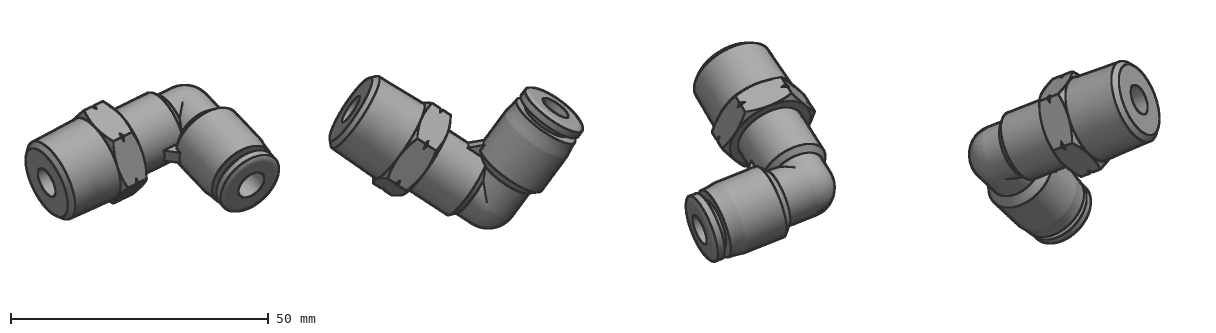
import cadquery as cq
import math


elbow_radius = 5.8
bore_radius = 3.05

leg_length = 32.48
sleeve_radius = 7.0
sleeve_start = 3.85
sleeve_chamfer = sleeve_radius - elbow_radius
hex_start = 15.05
hex_height = 6.0
hex_end = hex_start + hex_height
thread_root_radius = 8.65
thread_tip_radius = 8.35
thread_chamfer = 1.05

hex_flats = 17.48
hex_flat_radius = hex_flats / 2
hex_corner_radius = hex_flat_radius / math.cos(math.pi / 6)
hex_bevel_height = (hex_corner_radius - hex_flat_radius) * math.tan(math.pi / 6)
groove_width = 0.65
groove_depth = 0.48

socket_radius = 7.42
socket_cone_start = 6.1
socket_cone_end = socket_cone_start + socket_radius - elbow_radius
socket_taper_start = 16.48
socket_lip_start = 18.5
socket_lip_radius = 7.1
socket_end = 19.67
socket_end_radius = 7.02

neck_radius = 4.95
collar_start = 20.9
collar_radius = 6.85
collar_rim_end = 22.42
collar_face_radius = 5.6
collar_shoulder_radius = 6.42
collar_shoulder_end = 22.75
collar_end = 22.95

web_reach = 16.45
web_thickness = 2.87


def turn_leg(points):
    """Revolve a closed (radius, y) profile about the Y axis."""
    return cq.Workplane("XY").polyline(points).close().revolve(360, (0, 0, 0), (0, 1, 0))


def make_leg():
    return turn_leg([
        (0, 0),
        (elbow_radius, 0),
        (elbow_radius, -sleeve_start),
        (sleeve_radius, -sleeve_start - sleeve_chamfer),
        (sleeve_radius, -hex_end),
        (thread_root_radius, -hex_end),
        (thread_tip_radius, thread_chamfer - leg_length),
        (thread_tip_radius - thread_chamfer, -leg_length),
        (0, -leg_length),
    ])


def make_hexagon():
    """Hexagon with corners on X, bevelled at both ends and grooved at mid height."""
    blank = (
        cq.Workplane("XZ", origin=(0, -hex_start, 0))
        .polygon(6, 2 * hex_corner_radius)
        .extrude(hex_height)
    )
    hex_middle = -hex_start - hex_height / 2
    envelope = turn_leg([
        (0, -hex_start),
        (hex_flat_radius, -hex_start),
        (hex_corner_radius, -hex_start - hex_bevel_height),
        (hex_corner_radius, hex_middle + groove_width / 2),
        (hex_corner_radius - groove_depth, hex_middle),
        (hex_corner_radius, hex_middle - groove_width / 2),
        (hex_corner_radius, -hex_end + hex_bevel_height),
        (hex_flat_radius, -hex_end),
        (0, -hex_end),
    ])
    return blank.intersect(envelope)


def make_socket():
    """Socket body, neck and rounded release collar, turned about the X axis."""
    profile = (
        cq.Workplane("XY")
        .lineTo(0, elbow_radius)
        .lineTo(socket_cone_start, elbow_radius)
        .lineTo(socket_cone_end, socket_radius)
        .lineTo(socket_taper_start, socket_radius)
        .lineTo(socket_lip_start, socket_lip_radius)
        .lineTo(socket_end, socket_end_radius)
        .lineTo(socket_end, neck_radius)
        .lineTo(collar_start, neck_radius)
        .lineTo(collar_start, collar_radius)
        .lineTo(collar_rim_end, collar_radius)
        .threePointArc((collar_shoulder_end, collar_shoulder_radius), (collar_end, collar_face_radius))
        .lineTo(collar_end, 0)
        .close()
    )
    return profile.revolve(360, (0, 0, 0), (1, 0, 0))


def make_web():
    return (
        cq.Workplane("XY")
        .polyline([(0, 0), (web_reach, 0), (0, -web_reach)])
        .close()
        .extrude(web_thickness / 2, both=True)
    )


def make_bore():
    """Passage through both legs, with a rounded corner where they meet."""
    leg_bore = cq.Workplane("XZ").circle(bore_radius).extrude(leg_length)
    socket_bore = cq.Workplane("YZ").circle(bore_radius).extrude(collar_end)
    return leg_bore.union(socket_bore).union(cq.Workplane("XY").sphere(bore_radius))


body = make_leg().union(make_socket()).union(cq.Workplane("XY").sphere(elbow_radius))
body = body.union(make_hexagon()).union(make_web())
result = body.cut(make_bore())